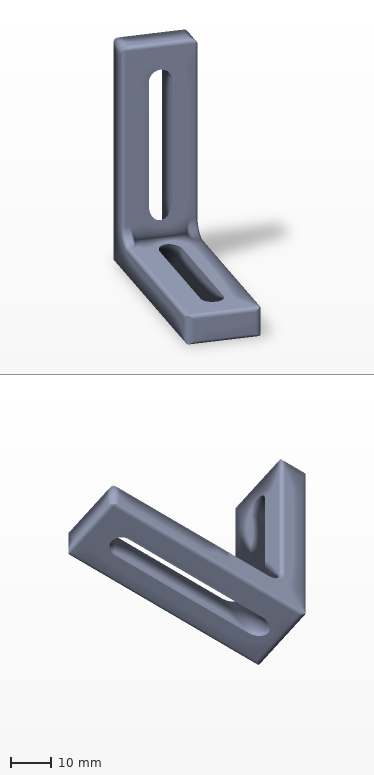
import cadquery as cq

leg_length = 60.0
width = 20.0
thickness = 8.0

small_radius = 1.0
large_radius = 2.0

slot_radius = 3.0
slot_far_center = 50.0
slot_near_center = 8.95

web_radius = 4.0
web_width = 3.0
web_overlap = 2.0

half_width = width / 2


def leg_block():
    return cq.Workplane("XY").box(leg_length, width, thickness, centered=(False, True, False))


def rounded_leg():
    """Horizontal leg whose differently rounded edges meet in mitred corners."""
    long_edges = leg_block().edges("|X").fillet(small_radius)
    upright_edges = (
        leg_block()
        .edges("|Z and >X").fillet(large_radius)
        .edges("|Z and <X").fillet(small_radius)
    )
    cross_edges = (
        leg_block()
        .edges("|Y and >X").fillet(small_radius)
        .edges("|Y and <X and <Z").fillet(large_radius)
    )
    return long_edges.intersect(upright_edges).intersect(cross_edges)


def leg_slot():
    """Slot through the horizontal leg with one square and one slanted round end."""
    far_end = (
        cq.Workplane("XY").center(slot_far_center, 0)
        .circle(slot_radius).extrude(thickness)
    )
    middle = (
        cq.Workplane("XZ")
        .moveTo(slot_near_center, 0)
        .lineTo(slot_far_center, 0)
        .lineTo(slot_far_center, thickness)
        .lineTo(slot_near_center + thickness, thickness)
        .close()
        .extrude(slot_radius, both=True)
    )
    slant = cq.Vector(1, 0, 1)
    near_end = cq.Solid.makeCylinder(
        slot_radius,
        4 * thickness,
        cq.Vector(slot_near_center, 0, 0) - slant * thickness,
        slant,
    )
    return far_end.union(middle).union(leg_block().intersect(cq.Workplane(near_end)))


def swap_legs(shape):
    """Mirror across the plane X = Z, turning the horizontal leg into the vertical one."""
    return shape.mirror(cq.Vector(1, 0, -1))


def corner_web():
    """Web on the -Y side, with both edges of its concave arc rounded."""
    inner = thickness - web_overlap
    outer = thickness + web_radius
    return (
        cq.Workplane("XZ", origin=(0, web_width - half_width, 0))
        .moveTo(inner, inner)
        .lineTo(outer, inner)
        .lineTo(outer, thickness)
        .radiusArc((thickness, outer), web_radius)
        .lineTo(inner, outer)
        .close()
        .extrude(web_width)
        .edges("%CIRCLE")
        .fillet(small_radius)
    )


leg = rounded_leg()
web = corner_web()
slot = leg_slot()

result = (
    leg.union(swap_legs(leg))
    .union(web)
    .union(web.mirror("XZ"))
    .cut(slot)
    .cut(swap_legs(slot))
)